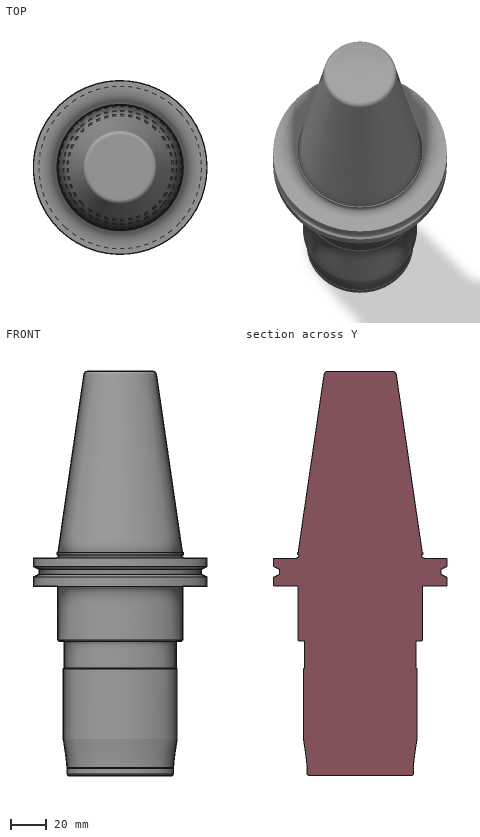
import cadquery as cq
import math

total_height = 226.8
flange_radius = 97.5 / 2

taper_on_diameter = 7 / 24
gauge_radius = 69.8 / 2
gauge_z = 125.2
tip_round = 2.3
tip_radius = gauge_radius - (total_height - gauge_z) * taper_on_diameter / 2

collar_radius = 35.4
collar_bottom_z = 123.8
collar_neck_radius = 34.5

flange_top_z = 122.0
collar_root_round = collar_bottom_z - flange_top_z
flange_bottom_z = 106.1
groove_center_z = 114.3
groove_floor_radius = 45.5
groove_floor_width = 2.7
groove_mouth_width = 6.0

body_radius = 35.1
body_bottom_z = 75.3
body_chamfer = 1.0
sleeve_radius = 32.0
sleeve_top_z = 60.3
sleeve_chamfer = 0.5
neck_radius = sleeve_radius - sleeve_chamfer

nose_radius = 30.0
nose_cone_top_z = 20.5
nose_cone_bottom_z = 4.8
nose_band_count = 4
nose_band_height = (nose_cone_top_z - nose_cone_bottom_z) / nose_band_count
nose_cone_bend = 1.3
nose_chamfer = 1.0

line_groove_width = 0.7
line_groove_depth = 0.2


def turned(points):
    """Revolve a (radius, z) outline, closed along the axis, about Z."""
    axis_bottom = (0, points[0][1])
    axis_top = (0, points[-1][1])
    outline = cq.Workplane("XZ").polyline([axis_bottom, *points, axis_top]).close()
    return outline.revolve(360, (0, 0, 0), (0, 1, 0))


def nose_cone_points():
    """Return the band corners of the conical nose, from the bottom up."""
    rise = sleeve_radius - nose_radius
    points = []
    for band in range(nose_band_count + 1):
        radius = nose_radius + rise * (band / nose_band_count) ** nose_cone_bend
        points.append((radius, nose_cone_bottom_z + band * nose_band_height))
    return points


def make_nose_and_body():
    line_groove_bottom_z = nose_cone_bottom_z - line_groove_width
    line_groove_radius = nose_radius - line_groove_depth
    return turned([
        (nose_radius - nose_chamfer, 0),
        (nose_radius, nose_chamfer),
        (nose_radius, line_groove_bottom_z),
        (line_groove_radius, line_groove_bottom_z),
        (line_groove_radius, nose_cone_bottom_z),
        *nose_cone_points(),
        (sleeve_radius, sleeve_top_z - sleeve_chamfer),
        (neck_radius, sleeve_top_z),
        (neck_radius, body_bottom_z),
        (body_radius - body_chamfer, body_bottom_z),
        (body_radius, body_bottom_z + body_chamfer),
        (body_radius, flange_bottom_z),
    ])


def make_flange():
    half_mouth = groove_mouth_width / 2
    half_floor = groove_floor_width / 2
    return turned([
        (flange_radius, flange_bottom_z),
        (flange_radius, groove_center_z - half_mouth),
        (groove_floor_radius, groove_center_z - half_floor),
        (groove_floor_radius, groove_center_z + half_floor),
        (flange_radius, groove_center_z + half_mouth),
        (flange_radius, flange_top_z),
    ])


def make_shank():
    shank = turned([
        (collar_neck_radius, flange_top_z),
        (collar_neck_radius, collar_bottom_z),
        (collar_radius, collar_bottom_z),
        (collar_radius, gauge_z),
        (gauge_radius, gauge_z),
        (tip_radius, total_height),
    ])
    return shank.faces(">Z").edges().fillet(tip_round)


def make_collar_root():
    """Ring with a concave quarter-round face joining the collar neck to the flange."""
    outer_radius = collar_neck_radius + collar_root_round
    arc_offset = collar_root_round * (1 - math.sqrt(0.5))
    outline = (
        cq.Workplane("XZ")
        .moveTo(0, flange_top_z)
        .lineTo(outer_radius, flange_top_z)
        .threePointArc(
            (collar_neck_radius + arc_offset, flange_top_z + arc_offset),
            (collar_neck_radius, collar_bottom_z),
        )
        .lineTo(0, collar_bottom_z)
        .close()
    )
    return outline.revolve(360, (0, 0, 0), (0, 1, 0))


result = make_nose_and_body()
for section in (make_flange(), make_collar_root(), make_shank()):
    result = result.union(section)